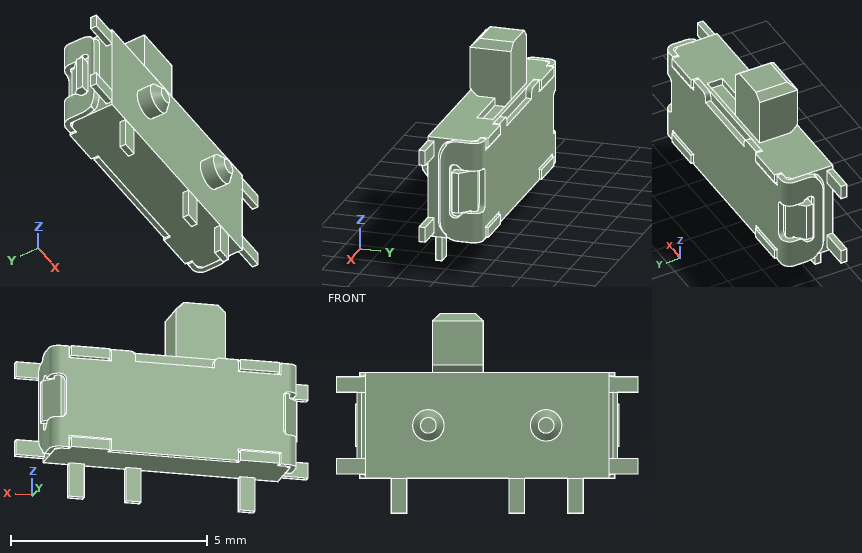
import cadquery as cq
import math


HOUSING_LENGTH = 6.2
HOUSING_DEPTH = 1.3
HOUSING_HEIGHT = 2.7
HOUSING_CHAMFER = 0.14
HALF_LENGTH = HOUSING_LENGTH / 2
MID_HEIGHT = HOUSING_HEIGHT / 2

PITCH = 1.5

PEG_RADIUS = 0.4
PEG_LENGTH = 0.6
PEG_CHAMFER = 0.2

BOSS_WIDTH = 1.025
BOSS_HEIGHT = 0.26
BOSS_REACH = 0.2
BOSS_SPACING = 4.465

LATCH_REACH = 0.26
LATCH_FRONT = 0.72
LATCH_HEIGHT = 1.08

KNOB_WIDTH = 1.3
KNOB_HEIGHT = 1.5
KNOB_FRONT = 0.1
KNOB_BACK = 1.2
KNOB_SIDE_CHAMFER = 0.2
KNOB_TOP_CHAMFER = 0.19
KNOB_CENTER = -PITCH / 2
SLOT_WIDTH = 0.43
SLOT_DEPTH = 0.2
SLOT_LENGTH = PITCH + KNOB_WIDTH

OVERALL_LENGTH = 7.7
TERMINAL_WIDTH = 0.4
TERMINAL_THICKNESS = 0.17
PIN_LENGTH = 0.89
PIN_POSITIONS = (-1.5 * PITCH, 0.5 * PITCH, 1.5 * PITCH)
TAB_LENGTH = (OVERALL_LENGTH - HOUSING_LENGTH) / 2
TAB_INSET = 0.11

SHEET = 0.155
COVER_BACK = HOUSING_DEPTH + SHEET
COVER_HALF_LENGTH = HALF_LENGTH + SHEET
BEND_INNER_RADIUS = 0.1
BEND_OUTER_RADIUS = BEND_INNER_RADIUS + SHEET
ARM_END = 0.54
LIP_ANGLE = 35
LIP_BEND_RADIUS = 0.09
LIP_FLAT = 0.1
CORNER_RADIUS = 0.5
NOTCH_CLEARANCE = 0.05
RECESS_WIDTH = 2.07
RECESS_DEPTH = 0.27
RECESS_ROUND = 0.15
WINDOW_HEIGHT = 1.155
WINDOW_LIFT = 0.02
WINDOW_FRONT = 0.62
WINDOW_INNER_X = 2.865
RELIEF_RADIUS = 0.15


def box(x_range, y_range, z_range):
    """Axis-aligned block between the given limits."""
    size = [high - low for low, high in (x_range, y_range, z_range)]
    corner = (x_range[0], y_range[0], z_range[0])
    return cq.Workplane("XY").box(*size, centered=False).translate(corner)


def make_peg(x):
    """Round locating peg with a chamfered tip."""
    peg = cq.Workplane("XZ").center(x, MID_HEIGHT).circle(PEG_RADIUS).extrude(PEG_LENGTH)
    return peg.faces("<Y").chamfer(PEG_CHAMFER)


def make_knob():
    """Actuator knob: top bevelled on the front and both sides, underside bevelled on the front."""
    top = HOUSING_HEIGHT + KNOB_HEIGHT
    half_width = KNOB_WIDTH / 2
    side_outline = (
        cq.Workplane("YZ", origin=(KNOB_CENTER - half_width, 0, 0))
        .moveTo(KNOB_BACK, HOUSING_HEIGHT)
        .lineTo(KNOB_FRONT + KNOB_SIDE_CHAMFER, HOUSING_HEIGHT)
        .lineTo(KNOB_FRONT, HOUSING_HEIGHT + KNOB_TOP_CHAMFER)
        .lineTo(KNOB_FRONT, top - KNOB_TOP_CHAMFER)
        .lineTo(KNOB_FRONT + KNOB_SIDE_CHAMFER, top)
        .lineTo(KNOB_BACK, top)
        .close()
        .extrude(KNOB_WIDTH)
    )
    front_outline = (
        cq.Workplane("XZ", origin=(KNOB_CENTER, KNOB_BACK, 0))
        .moveTo(-half_width, HOUSING_HEIGHT)
        .lineTo(half_width, HOUSING_HEIGHT)
        .lineTo(half_width, top - KNOB_TOP_CHAMFER)
        .lineTo(half_width - KNOB_SIDE_CHAMFER, top)
        .lineTo(-half_width + KNOB_SIDE_CHAMFER, top)
        .lineTo(-half_width, top - KNOB_TOP_CHAMFER)
        .close()
        .extrude(KNOB_BACK)
    )
    return side_outline.intersect(front_outline)


def make_latch_block():
    """Block as long as both latches, its rear edges cut by the chamfer planes of the housing."""
    tip = HALF_LENGTH + LATCH_REACH
    chamfer_reach = HOUSING_CHAMFER + LATCH_REACH
    block = box(
        (-tip, tip),
        (LATCH_FRONT, HOUSING_DEPTH),
        (MID_HEIGHT - LATCH_HEIGHT / 2, MID_HEIGHT + LATCH_HEIGHT / 2),
    )
    return block.edges("|Z and >Y").chamfer(chamfer_reach)


def make_housing():
    """Housing with its pegs, bosses, latches, slot and knob."""
    body = box((-HALF_LENGTH, HALF_LENGTH), (0, HOUSING_DEPTH), (0, HOUSING_HEIGHT))
    body = body.edges("|Z and >Y").chamfer(HOUSING_CHAMFER)
    body = body.union(make_latch_block())
    for side in (-1, 1):
        body = body.union(make_peg(side * PITCH))
        boss_x = side * BOSS_SPACING / 2
        for low_z in (0, HOUSING_HEIGHT - BOSS_HEIGHT):
            boss = box(
                (boss_x - BOSS_WIDTH / 2, boss_x + BOSS_WIDTH / 2),
                (HOUSING_DEPTH, HOUSING_DEPTH + BOSS_REACH),
                (low_z, low_z + BOSS_HEIGHT),
            )
            body = body.union(boss)
    slot = box(
        (KNOB_CENTER + KNOB_WIDTH / 2, SLOT_LENGTH / 2),
        (KNOB_BACK - SLOT_WIDTH, KNOB_BACK),
        (HOUSING_HEIGHT - SLOT_DEPTH, HOUSING_HEIGHT),
    )
    return body.cut(slot).union(make_knob())


def make_pin(x):
    """Flat contact pin hanging from the bottom of the housing."""
    half_width = TERMINAL_WIDTH / 2
    return box((x - half_width, x + half_width), (0, TERMINAL_THICKNESS), (-PIN_LENGTH, 0))


def make_tab(side, low_z):
    """Flat mounting tab standing out from one end of the housing."""
    inner, outer = side * HALF_LENGTH, side * (HALF_LENGTH + TAB_LENGTH)
    x_range = (min(inner, outer), max(inner, outer))
    return box(x_range, (0, TERMINAL_THICKNESS), (low_z, low_z + TERMINAL_WIDTH))


def trim_to_rounded_end(body, end_y):
    """Keep what lies inside a full-height strip whose end at end_y has round corners."""
    strip = box(
        (0, 2 * COVER_HALF_LENGTH),
        (end_y, 2 * COVER_BACK),
        (0, HOUSING_HEIGHT),
    )
    return body.intersect(strip.edges("|X and <Y").fillet(CORNER_RADIUS))


def make_lip():
    """Flared lip at the end of the right-hand arm: a bend followed by a short flat."""
    angle = math.radians(LIP_ANGLE)
    center_x = COVER_HALF_LENGTH + LIP_BEND_RADIUS
    far_radius = LIP_BEND_RADIUS + SHEET

    def on_arc(radius, turn):
        return (center_x - radius * math.cos(turn), ARM_END + radius * math.sin(turn))

    flat_end = ARM_END - LIP_FLAT
    lip = (
        cq.Workplane("XY")
        .moveTo(COVER_HALF_LENGTH, flat_end)
        .lineTo(COVER_HALF_LENGTH, ARM_END)
        .threePointArc(on_arc(LIP_BEND_RADIUS, angle / 2), on_arc(LIP_BEND_RADIUS, angle))
        .lineTo(*on_arc(far_radius, angle))
        .threePointArc(on_arc(far_radius, angle / 2), (HALF_LENGTH, ARM_END))
        .lineTo(HALF_LENGTH, flat_end)
        .close()
        .extrude(HOUSING_HEIGHT)
    )
    lip = trim_to_rounded_end(lip, flat_end)
    return lip.rotate((center_x, ARM_END, 0), (center_x, ARM_END, 1), LIP_ANGLE)


def make_window():
    """Cutter for the latch window of the right-hand arm, with round reliefs at its front corners.

    The opening sits WINDOW_LIFT above mid-height; the reliefs lie evenly about mid-height.
    """
    half_height = WINDOW_HEIGHT / 2
    opening = box(
        (WINDOW_INNER_X, 2 * COVER_HALF_LENGTH),
        (WINDOW_FRONT, 2 * COVER_BACK),
        (MID_HEIGHT - half_height + WINDOW_LIFT, MID_HEIGHT + half_height + WINDOW_LIFT),
    )
    opening = opening.edges("|Y and <X").fillet(RELIEF_RADIUS)
    relief_y = WINDOW_FRONT + RELIEF_RADIUS
    diagonal = RELIEF_RADIUS * math.sqrt(0.5)
    for side in (-1, 1):
        relief_z = MID_HEIGHT + side * half_height
        tangent_y = relief_y + diagonal
        tangent_z = relief_z + side * diagonal
        inner_z = relief_z - side * WINDOW_LIFT
        relief = (
            cq.Workplane("YZ", origin=(HALF_LENGTH, 0, 0))
            .moveTo(WINDOW_FRONT, relief_z)
            .threePointArc((relief_y, relief_z + side * RELIEF_RADIUS), (tangent_y, tangent_z))
            .lineTo(tangent_y + diagonal + WINDOW_LIFT, inner_z)
            .lineTo(WINDOW_FRONT, inner_z)
            .close()
            .extrude(2 * SHEET)
        )
        opening = opening.union(relief)
    return opening


def make_cover_half():
    """Right-hand half of the cover: back plate, bent arm with its window, and flared lip."""
    sheet = box((0, COVER_HALF_LENGTH), (ARM_END, COVER_BACK), (0, HOUSING_HEIGHT))
    sheet = sheet.edges("|Z and >X and >Y").fillet(BEND_OUTER_RADIUS)
    inside = box((-0.08, HALF_LENGTH), (0, HOUSING_DEPTH), (0, HOUSING_HEIGHT))
    sheet = sheet.cut(inside.edges("|Z and >X and >Y").fillet(BEND_INNER_RADIUS))

    mean_bend_length = math.radians(LIP_ANGLE) * (LIP_BEND_RADIUS + SHEET / 2)
    sheet = trim_to_rounded_end(sheet, ARM_END - mean_bend_length - LIP_FLAT)
    sheet = sheet.union(make_lip()).cut(make_window())

    half_notch = BOSS_WIDTH / 2 + NOTCH_CLEARANCE
    notch_height = BOSS_HEIGHT + NOTCH_CLEARANCE
    boss_x = BOSS_SPACING / 2
    for low_z in (0, HOUSING_HEIGHT - notch_height):
        notch = box(
            (boss_x - half_notch, boss_x + half_notch),
            (HOUSING_DEPTH, COVER_BACK),
            (low_z, low_z + notch_height),
        )
        sheet = sheet.cut(notch)
    return sheet


def make_cover():
    """Cover wrapped around the rear of the housing, with a round-shouldered recess in its top edge."""
    right_half = make_cover_half()
    cover = right_half.union(right_half.mirror("YZ"))
    recess = box(
        (-RECESS_WIDTH / 2, RECESS_WIDTH / 2),
        (HOUSING_DEPTH, COVER_BACK),
        (HOUSING_HEIGHT - RECESS_DEPTH, HOUSING_HEIGHT),
    )
    cover = cover.cut(recess)
    half_recess = RECESS_WIDTH / 2
    for side in (-1, 1):
        shoulder = cq.selectors.NearestToPointSelector(
            (side * half_recess, HOUSING_DEPTH + SHEET / 2, HOUSING_HEIGHT)
        )
        cover = cover.edges(shoulder).fillet(RECESS_ROUND)
    return cover


housing = make_housing()
cover = make_cover()
pins = [make_pin(x) for x in PIN_POSITIONS]
tab_levels = (TAB_INSET, HOUSING_HEIGHT - TAB_INSET - TERMINAL_WIDTH)
tabs = [make_tab(side, low_z) for side in (-1, 1) for low_z in tab_levels]

result = cq.Compound.makeCompound(
    [
        housing.solids().val(),
        cover.solids().val(),
        *[pin.val() for pin in pins],
        *[tab.val() for tab in tabs],
    ]
)